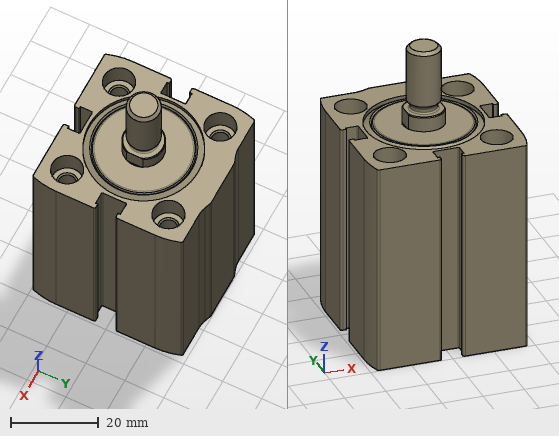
import cadquery as cq
import math

housing_width = 38.5
housing_height = 51.4
half_width = housing_width / 2

side_flat_half = 12.7
corner_inset = 1.15
corner_fillet = 0.6

pad_rise = 1.0
pad_top_half = 5.9
pad_base_half = 8.7
pad_base_fillet = 7.1
pad_top_fillet = 2.0

edge_search = 0.35

slot_depth = 4.5
slot_mouth_width = 5.2
slot_inner_width = 6.4
slot_lip = 1.35
slot_mouth_fillet = 0.5
slot_corner_fillet = 0.3

hole_offset = 13.0
counterbore_diameter = 7.5
counterbore_depth = 5.7
hole_diameter = 4.2
hole_chamfer_diameter = 5.0
hole_chamfer_depth = (hole_chamfer_diameter - hole_diameter) / 2

cover_diameter = 27.8
cover_cone_top_diameter = 24.7
cover_cone_depth = 1.0
groove_bottom_diameter = 24.0
groove_bevel_diameter = 23.4
groove_inner_diameter = 22.7
groove_depth = 0.4
groove_bevel_depth = 0.1

overall_height = 71.0
rod_diameter = 10.0
rod_insertion = 25.55
rod_top = 55.1
rod_chamfer = 0.2
flats_width = 9.0
flats_depth_below_top = 0.35
flats_runout_angle = 35.0
cutter_clearance = 0.7

thread_diameter = 8.0
thread_bottom = 57.2
thread_chamfer = 0.8
neck_diameter = 6.4
neck_base_fillet = 0.35
neck_top_fillet = 0.5


def vertical_edge_at(x, y):
    """Selector for the upright housing edge that passes through (x, y)."""
    return cq.selectors.BoxSelector(
        (x - edge_search, y - edge_search, 0),
        (x + edge_search, y + edge_search, housing_height),
    )


def housing_block():
    """Extrude the square outline with its two crowned sides."""
    corner_x = half_width - corner_inset
    crown_length = half_width - side_flat_half
    crown_radius = (crown_length**2 + corner_inset**2) / (2 * corner_inset)
    half_angle = math.asin(crown_length / crown_radius) / 2
    mid_x = half_width - crown_radius * (1 - math.cos(half_angle))
    mid_y = side_flat_half + crown_radius * math.sin(half_angle)
    block = (
        cq.Workplane("XY")
        .moveTo(-corner_x, -half_width)
        .lineTo(corner_x, -half_width)
        .threePointArc((mid_x, -mid_y), (half_width, -side_flat_half))
        .lineTo(half_width, side_flat_half)
        .threePointArc((mid_x, mid_y), (corner_x, half_width))
        .lineTo(-corner_x, half_width)
        .threePointArc((-mid_x, mid_y), (-half_width, side_flat_half))
        .lineTo(-half_width, -side_flat_half)
        .threePointArc((-mid_x, -mid_y), (-corner_x, -half_width))
        .close()
        .extrude(housing_height)
    )
    for x in (-corner_x, corner_x):
        for y in (-half_width, half_width):
            near_corner = vertical_edge_at(x, y)
            block = block.edges("|Z").edges(near_corner).fillet(corner_fillet)
    return block


def add_back_pad(block):
    """Raise the middle of the back wall, blended into it on both sides."""
    pad_y = half_width + pad_rise
    pad = (
        cq.Workplane("XY")
        .polyline([
            (-pad_base_half, half_width),
            (-pad_top_half, pad_y),
            (pad_top_half, pad_y),
            (pad_base_half, half_width),
            (pad_base_half, 0),
            (-pad_base_half, 0),
        ])
        .close()
        .extrude(housing_height)
        .edges("|Z and >Y")
        .fillet(pad_top_fillet)
    )
    block = block.union(pad)
    for x in (-pad_base_half, pad_base_half):
        at_base = vertical_edge_at(x, half_width)
        block = block.edges("|Z").edges(at_base).fillet(pad_base_fillet)
    return block


def slot_cutter():
    """T-shaped cutter for the slot in the front (-Y) wall, with a rounded mouth."""
    floor_y = slot_depth - half_width
    lip_y = slot_lip - half_width
    chamber = (
        cq.Workplane("XY")
        .center(0, (floor_y + lip_y) / 2)
        .rect(slot_inner_width, floor_y - lip_y)
        .extrude(housing_height)
        .edges("|Z and >Y")
        .fillet(slot_corner_fillet)
    )
    mouth_half = slot_mouth_width / 2
    round_end_y = slot_mouth_fillet - half_width
    outer_half = mouth_half + slot_mouth_fillet
    mouth = (
        cq.Workplane("XY")
        .moveTo(-mouth_half, lip_y)
        .lineTo(-mouth_half, round_end_y)
        .radiusArc((-outer_half, -half_width), slot_mouth_fillet)
        .lineTo(outer_half, -half_width)
        .radiusArc((mouth_half, round_end_y), slot_mouth_fillet)
        .lineTo(mouth_half, lip_y)
        .close()
        .extrude(housing_height)
    )
    return chamber.union(mouth)


def mounting_hole_cutter():
    """Through hole with a chamfered edge at the floor of its counterbore."""
    hole_radius = hole_diameter / 2
    counterbore_floor = housing_height - counterbore_depth
    return (
        cq.Workplane("XZ")
        .polyline([
            (0, 0),
            (hole_radius, 0),
            (hole_radius, counterbore_floor - hole_chamfer_depth),
            (hole_chamfer_diameter / 2, counterbore_floor),
            (counterbore_diameter / 2, counterbore_floor),
            (counterbore_diameter / 2, housing_height),
            (0, housing_height),
        ])
        .close()
        .revolve(360, (0, 0), (0, 1))
    )


def top_ring_cutter(profile):
    """Ring cut into the top face from (diameter, depth) points."""
    points = [(diameter / 2, housing_height - depth) for diameter, depth in profile]
    return cq.Workplane("XZ").polyline(points).close().revolve(360, (0, 0), (0, 1))


def make_housing():
    body = add_back_pad(housing_block())
    for angle in (-90, 0, 90):
        body = body.cut(slot_cutter().rotate((0, 0, 0), (0, 0, 1), angle))
    for x in (-hole_offset, hole_offset):
        for y in (-hole_offset, hole_offset):
            body = body.cut(mounting_hole_cutter().translate((x, y, 0)))
    cover_rim = [
        (cover_diameter, 0),
        (cover_diameter, cover_cone_depth),
        (cover_cone_top_diameter, 0),
    ]
    v_groove = [
        (cover_cone_top_diameter, 0),
        (groove_bottom_diameter, groove_depth),
        (groove_bevel_diameter, groove_bevel_depth),
        (groove_inner_diameter, 0),
    ]
    body = body.cut(top_ring_cutter(cover_rim))
    body = body.cut(top_ring_cutter(v_groove))
    rod_bore = (
        cq.Workplane("XY", origin=(0, 0, housing_height - rod_insertion))
        .circle(rod_diameter / 2)
        .extrude(rod_insertion)
    )
    return body.cut(rod_bore)


def rod_blank():
    """Turned profile of the rod, its undercut neck and its threaded end."""
    rod_radius = rod_diameter / 2
    thread_radius = thread_diameter / 2
    neck_radius = neck_diameter / 2
    diagonal = math.sqrt(0.5)
    blend_end_radius = neck_radius + neck_top_fillet * (1 - diagonal)
    blend_end_z = thread_bottom - (thread_radius - blend_end_radius)
    blend_start_z = blend_end_z - neck_top_fillet * diagonal
    return (
        cq.Workplane("XZ")
        .moveTo(0, housing_height - rod_insertion)
        .lineTo(rod_radius, housing_height - rod_insertion)
        .lineTo(rod_radius, rod_top - rod_chamfer)
        .lineTo(rod_radius - rod_chamfer, rod_top)
        .lineTo(neck_radius + neck_base_fillet, rod_top)
        .radiusArc((neck_radius, rod_top + neck_base_fillet), neck_base_fillet)
        .lineTo(neck_radius, blend_start_z)
        .radiusArc((blend_end_radius, blend_end_z), neck_top_fillet)
        .lineTo(thread_radius, thread_bottom)
        .lineTo(thread_radius, overall_height - thread_chamfer)
        .lineTo(thread_radius - thread_chamfer, overall_height)
        .lineTo(0, overall_height)
        .close()
        .revolve(360, (0, 0), (0, 1))
    )


def wrench_flat_cutter():
    """Cutter for the +X wrench flat, ending in a sloped run-out inside the bore."""
    flat_x = flats_width / 2
    outer_x = rod_diameter / 2 + cutter_clearance
    flat_end_z = housing_height - flats_depth_below_top
    runout_drop = (outer_x - flat_x) * math.tan(math.radians(flats_runout_angle))
    return (
        cq.Workplane("XZ")
        .polyline([
            (flat_x, rod_top),
            (flat_x, flat_end_z),
            (outer_x, flat_end_z - runout_drop),
            (outer_x, rod_top),
        ])
        .close()
        .extrude(rod_diameter / 2, both=True)
    )


def make_piston_rod():
    rod = rod_blank()
    for angle in (0, 180):
        rod = rod.cut(wrench_flat_cutter().rotate((0, 0, 0), (0, 0, 1), angle))
    return rod


housing = make_housing()
piston_rod = make_piston_rod()

result = cq.Compound.makeCompound([housing.solids().val(), piston_rod.solids().val()])